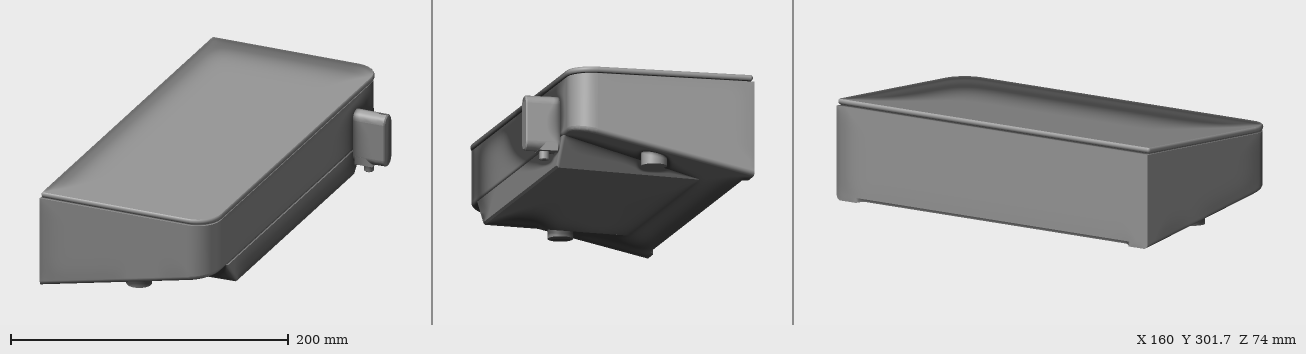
import cadquery as cq
import math

LENGTH = 301.7
HEIGHT = 74.0
TOTAL_WIDTH = 160.0

LID_THICKNESS = 4.0
LID_LIP_HEIGHT = 1.0
LID_LIP_INSET = 2.7
LID_LEFT = 1.0
LID_RIGHT = 135.8
LID_END_OVERHANG = 0.3
LID_BULGE = 1.0
LID_LEFT_CORNER_RADIUS = 1.0

HOUSING_WIDTH = 135.0
HOUSING_LENGTH = LENGTH - 2 * LID_END_OVERHANG
LID_BOTTOM = HEIGHT - LID_THICKNESS
HOUSING_TOP = LID_BOTTOM - LID_LIP_HEIGHT
CORNER_RADIUS = 18.0
SLOPE = math.tan(math.radians(12))
UNDERSIDE_RADIUS = 3.5

NOTCH_INSET = 17.2
NOTCH_HEIGHT = 3.5
NOTCH_DEPTH = 4.0
NOTCH_MOUTH_WIDTH = 2.7
NOTCH_CORNER_WIDTH = 5.0

SKIRT_INSET = 29.5
SKIRT_DRAFT = 42.0
SKIRT_START_X = 27.2
SKIRT_OVERLAP = 3.5
TRAY_START_X = 39.0
TRAY_START_Z = 6.0
TRAY_END_BOTTOM_Z = 8.5
SEAM_END_Z = 23.5
TRAY_CORNER_RADIUS = 2.0
TRAY_BOTTOM_CHAMFER = 1.5

FOOT_RADIUS = 9.5
FOOT_X = 69.7
FOOT_INSET = 19.5
FOOT_BOTTOM = 7.2

PLUG_Y = 106.0
PLUG_BOTTOM = 18.7
PLUG_HEIGHT = 40.7
PLUG_WIDTH = 13.0
PLUG_CENTER_Z = PLUG_BOTTOM + PLUG_HEIGHT / 2
PLUG_DRAFT = 0.5
PLUG_END_CHAMFER = 1.0
COLLAR_THICKNESS = 1.5
GROOVE_LENGTH = 6.0
GROOVE_WIDTH = 1.8
GROOVE_DEPTH = 1.2

BOSS_HEIGHT = 6.0
BOSS_TOP_LENGTH = 8.5
BOSS_BOTTOM_LENGTH = 14.0
PIN_X = 144.8
PIN_RADIUS = 3.5
PIN_BOTTOM = 12.7
PIN_CHAMFER = 0.5
PIN_SOCKET_DEPTH = 3.0


def underside_z(x):
    """Height of the sloped underside at a given X."""
    return SLOPE * x


def xz_prism(points, length, center_y=0.0):
    """Prism along Y, centred on center_y, from an outline in X and Z."""
    return (
        cq.Workplane("XZ", origin=(0, center_y, 0))
        .polyline(points)
        .close()
        .extrude(length / 2, both=True)
    )


def make_lid():
    """Flat plate with a shallow arc-shaped rim swept around its outline, and a lip below."""
    left = LID_LEFT + LID_BULGE
    width = LID_RIGHT - LID_BULGE - left
    plate = (
        cq.Workplane("XY", origin=(left + width / 2, 0, LID_BOTTOM))
        .rect(width, LENGTH - 2 * LID_BULGE)
        .extrude(LID_THICKNESS)
        .edges("|Z and >X").fillet(CORNER_RADIUS)
        .edges("|Z and <X").fillet(LID_LEFT_CORNER_RADIUS)
    )
    path = plate.faces("<Z").wires()
    rim = (
        cq.Workplane("XZ", origin=(left, 0, LID_BOTTOM))
        .threePointArc((-LID_BULGE, LID_THICKNESS / 2), (0, LID_THICKNESS))
        .close()
        .sweep(path)
    )
    lip = path.toPending().offset2D(-LID_LIP_INSET).extrude(-LID_LIP_HEIGHT)
    return plate.union(rim).union(lip)


def make_notch():
    """Cutter for the notch: each side is a convex arc running into a concave one."""
    sum_of_widths = NOTCH_MOUTH_WIDTH + NOTCH_CORNER_WIDTH
    sweep = 2 * math.atan(NOTCH_DEPTH / sum_of_widths)
    mouth_y = HOUSING_LENGTH / 2 - NOTCH_INSET
    bend_y = mouth_y - NOTCH_MOUTH_WIDTH
    back_y = bend_y - NOTCH_CORNER_WIDTH
    mouth_radius = NOTCH_MOUTH_WIDTH / math.sin(sweep)
    corner_radius = NOTCH_CORNER_WIDTH / math.sin(sweep)
    bend_x = mouth_radius * (1 - math.cos(sweep))
    mouth_mid = (
        mouth_radius * (1 - math.cos(sweep / 2)),
        mouth_y - mouth_radius * math.sin(sweep / 2),
    )
    corner_mid = (
        NOTCH_DEPTH - corner_radius * (1 - math.cos(sweep / 2)),
        back_y + corner_radius * math.sin(sweep / 2),
    )
    return (
        cq.Workplane("XY")
        .moveTo(0, mouth_y)
        .threePointArc(mouth_mid, (bend_x, bend_y))
        .threePointArc(corner_mid, (NOTCH_DEPTH, back_y))
        .lineTo(NOTCH_DEPTH, -back_y)
        .threePointArc((corner_mid[0], -corner_mid[1]), (bend_x, -bend_y))
        .threePointArc((mouth_mid[0], -mouth_mid[1]), (0, -mouth_y))
        .close()
        .extrude(NOTCH_HEIGHT)
    )


def make_bulge_envelope():
    """Block with drafted ends and rounded right corners that bounds skirt and tray."""
    top_z = underside_z(HOUSING_WIDTH)
    half_top = HOUSING_LENGTH / 2 - SKIRT_INSET
    half_bottom = half_top - top_z * math.tan(math.radians(SKIRT_DRAFT))
    return (
        cq.Workplane("YZ")
        .polyline([(-half_top, top_z), (half_top, top_z), (half_bottom, 0), (-half_bottom, 0)])
        .close()
        .extrude(HOUSING_WIDTH)
        .faces(">X").edges("not |Y").fillet(TRAY_CORNER_RADIUS)
    )


def make_skirt():
    outline = [
        (SKIRT_START_X, underside_z(SKIRT_START_X) + SKIRT_OVERLAP),
        (SKIRT_START_X, underside_z(SKIRT_START_X)),
        (TRAY_START_X, TRAY_START_Z),
        (HOUSING_WIDTH, SEAM_END_Z),
        (HOUSING_WIDTH, underside_z(HOUSING_WIDTH) + SKIRT_OVERLAP),
    ]
    return xz_prism(outline, HOUSING_LENGTH).intersect(make_bulge_envelope())


def make_tray():
    outline = [
        (TRAY_START_X, TRAY_START_Z),
        (HOUSING_WIDTH, SEAM_END_Z),
        (HOUSING_WIDTH, TRAY_END_BOTTOM_Z),
    ]
    block = xz_prism(outline, HOUSING_LENGTH)
    block = block.faces(">X").edges("<Z").chamfer(TRAY_BOTTOM_CHAMFER)
    return block.intersect(make_bulge_envelope())


def make_housing():
    outline = [
        (0, 0),
        (HOUSING_WIDTH, underside_z(HOUSING_WIDTH)),
        (HOUSING_WIDTH, HOUSING_TOP),
        (0, HOUSING_TOP),
    ]
    shell = xz_prism(outline, HOUSING_LENGTH)
    shell = shell.edges("|Z and >X").fillet(CORNER_RADIUS)
    underside = shell.faces("<Z")
    rounded_edges = underside.edges("not (|Y and <X)")
    shell = rounded_edges.fillet(UNDERSIDE_RADIUS)
    return shell.cut(make_notch()).union(make_skirt())


def make_foot(side):
    """Round foot at one end (side is -1 or 1), its top cut along the underside."""
    y = side * (HOUSING_LENGTH / 2 - FOOT_INSET)
    left = FOOT_X - FOOT_RADIUS
    right = FOOT_X + FOOT_RADIUS
    outline = [
        (left, FOOT_BOTTOM),
        (right, FOOT_BOTTOM),
        (right, underside_z(right)),
        (left, underside_z(left)),
    ]
    cylinder = cq.Workplane("XY", origin=(FOOT_X, y, 0)).circle(FOOT_RADIUS).extrude(HEIGHT)
    return cylinder.intersect(xz_prism(outline, 2 * FOOT_RADIUS, y))


def plug_outline(x):
    """Upright rounded-end slot outline on a plane across X."""
    return cq.Workplane("YZ", origin=(x, PLUG_Y, PLUG_CENTER_Z)).slot2D(PLUG_HEIGHT, PLUG_WIDTH, 90)


def make_collar():
    return plug_outline(HOUSING_WIDTH).extrude(COLLAR_THICKNESS)


def make_pin():
    return (
        cq.Workplane("XY", origin=(PIN_X, PLUG_Y, PIN_BOTTOM))
        .circle(PIN_RADIUS)
        .extrude(PLUG_BOTTOM + PIN_SOCKET_DEPTH - PIN_BOTTOM)
        .faces("<Z").chamfer(PIN_CHAMFER)
    )


def make_plug():
    start_x = HOUSING_WIDTH + COLLAR_THICKNESS
    plug = plug_outline(start_x).extrude(TOTAL_WIDTH - start_x, taper=PLUG_DRAFT)
    plug = plug.faces(">X").chamfer(PLUG_END_CHAMFER)
    boss_outline = [
        (start_x, PLUG_BOTTOM),
        (start_x + BOSS_BOTTOM_LENGTH, PLUG_BOTTOM),
        (start_x + BOSS_TOP_LENGTH, PLUG_BOTTOM + BOSS_HEIGHT),
        (start_x, PLUG_BOTTOM + BOSS_HEIGHT),
    ]
    boss = xz_prism(boss_outline, PLUG_WIDTH, PLUG_Y)
    groove = cq.Workplane("XY").box(GROOVE_LENGTH, GROOVE_WIDTH, 2 * GROOVE_DEPTH).translate(
        (TOTAL_WIDTH - PLUG_END_CHAMFER - GROOVE_LENGTH / 2, PLUG_Y, PLUG_BOTTOM + PLUG_HEIGHT)
    )
    return plug.union(boss).cut(groove).cut(make_pin())


housing = make_housing()
lid = make_lid()
tray = make_tray()
feet = [make_foot(side) for side in (-1, 1)]
collar = make_collar()
plug = make_plug()
pin = make_pin()

result = cq.Compound.makeCompound([
    housing.val(),
    lid.val(),
    tray.val(),
    *[foot.val() for foot in feet],
    collar.val(),
    plug.val(),
    pin.val(),
])